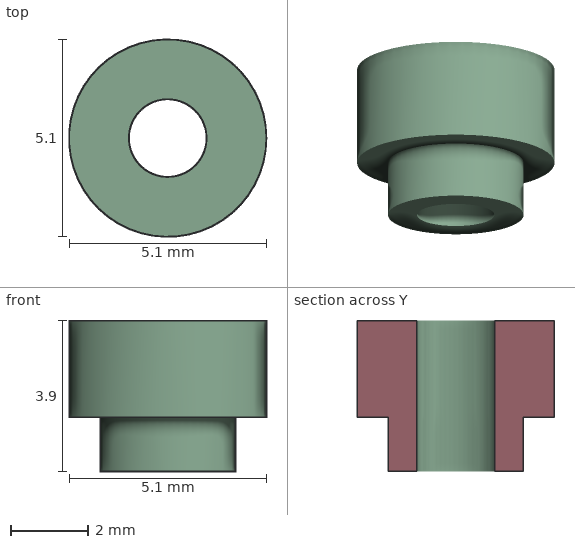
import cadquery as cq

head_diameter = 5.1
neck_diameter = 3.5
bore_diameter = 2.0
total_height = 3.9
head_height = 2.5
neck_height = total_height - head_height

neck = cq.Workplane("XY").circle(neck_diameter / 2).extrude(neck_height)

head = (
    cq.Workplane("XY")
    .workplane(offset=neck_height)
    .circle(head_diameter / 2)
    .extrude(head_height)
)

bore = cq.Workplane("XY").circle(bore_diameter / 2).extrude(total_height)

result = neck.union(head).cut(bore)